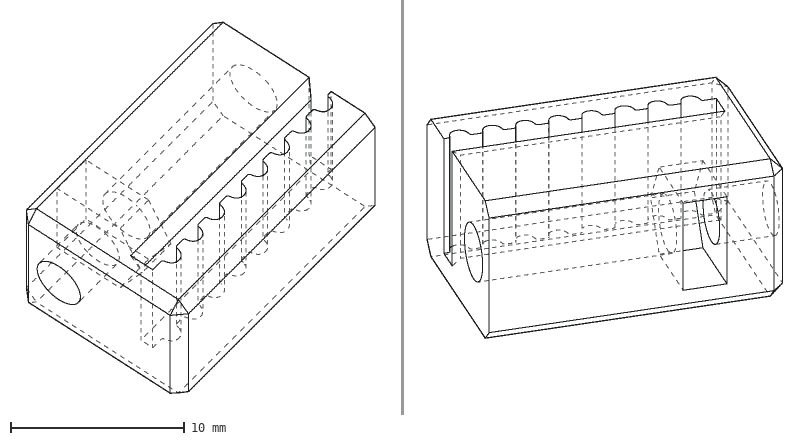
import cadquery as cq
import math

body_width = 12.0
body_length = 18.0
body_height = 9.0
edge_chamfer = 0.75

screw_diameter = 3.2
clearance_diameter = 3.5
screw_x = body_width / 4
screw_z = body_height / 2

nut_across_flats = 5.7
nut_thickness = 2.65
nut_front_y = 3.6
nut_back_y = nut_front_y + nut_thickness
nut_corner_radius = nut_across_flats / 2 / math.cos(math.pi / 6)

slot_wall = 1.5
slot_left_x = 7.87
slot_right_x = 8.75
lead_in = 0.75

tooth_pitch = 2.0
tooth_count = 8
first_tooth_y = 3.0
tooth_depth = 0.75
tip_radius = 0.555
flank_radius = 1.0
mouth_radius = 0.15


def make_body():
    """Block with every edge chamfered except those around the +Y face."""
    block = cq.Workplane("XY").box(body_width, body_length, body_height, centered=False)
    return block.edges("not >Y").chamfer(edge_chamfer)


def make_hole(diameter, start_y, end_y):
    """Cylinder on the screw axis from start_y to end_y."""
    return (
        cq.Workplane("XZ", origin=(screw_x, start_y, screw_z))
        .circle(diameter / 2)
        .extrude(start_y - end_y)
    )


def make_nut_pocket():
    """Slot as wide as the nut, ending in the 120 degree corner of the hexagon."""
    half_width = nut_across_flats / 2
    shoulder_x = screw_x + nut_corner_radius / 2
    outline = [
        (0, screw_z - half_width),
        (shoulder_x, screw_z - half_width),
        (screw_x + nut_corner_radius, screw_z),
        (shoulder_x, screw_z + half_width),
        (0, screw_z + half_width),
    ]
    return (
        cq.Workplane("XZ", origin=(0, nut_front_y, 0))
        .polyline(outline)
        .close()
        .extrude(-nut_thickness)
    )


def make_slot():
    """Plain belt slot."""
    slot = cq.Workplane("XY").box(
        slot_right_x - slot_left_x,
        body_length - slot_wall,
        body_height - slot_wall,
        centered=False,
    )
    return slot.translate((slot_left_x, slot_wall, slot_wall))


def make_top_lead_in():
    """Wedge that chamfers the top edge of the plain slot wall."""
    return (
        cq.Workplane("XZ", origin=(0, slot_wall, 0))
        .moveTo(slot_left_x, body_height)
        .lineTo(slot_left_x - lead_in, body_height)
        .lineTo(slot_left_x, body_height - lead_in)
        .close()
        .extrude(-(body_length - slot_wall))
    )


def make_end_lead_in():
    """Wedge that chamfers the upright edge of the plain slot wall at the +Y face."""
    return (
        cq.Workplane("XY", origin=(0, 0, slot_wall))
        .moveTo(slot_left_x, body_length)
        .lineTo(slot_left_x - lead_in, body_length)
        .lineTo(slot_left_x, body_length - lead_in)
        .close()
        .extrude(body_height - slot_wall)
    )


def make_tooth_groove(center_y):
    """Belt tooth groove: rounded mouth, bowed flanks and round bottom, as deep as the slot."""
    round_deep = tooth_depth - tip_radius
    flank_offset = math.sqrt((flank_radius - tip_radius) ** 2 - round_deep**2)
    mouth_across = math.sqrt((flank_radius + mouth_radius) ** 2 - mouth_radius**2) - flank_offset

    mouth_angle = math.asin(mouth_radius / (flank_radius + mouth_radius))
    tip_angle = math.atan2(round_deep, flank_offset)
    flank_angle = (mouth_angle + tip_angle) / 2
    mouth_turn = (math.pi / 2 - mouth_angle) / 2

    def flank_point(angle):
        return (flank_radius * math.cos(angle) - flank_offset, flank_radius * math.sin(angle))

    mouth_start = (mouth_across, 0)
    mouth_middle = (
        mouth_across - mouth_radius * math.sin(mouth_turn),
        mouth_radius - mouth_radius * math.cos(mouth_turn),
    )
    flank_start = flank_point(mouth_angle)
    flank_middle = flank_point(flank_angle)
    flank_end = flank_point(tip_angle)

    def low(point):
        return (slot_right_x + point[1], center_y - point[0])

    def high(point):
        return (slot_right_x + point[1], center_y + point[0])

    return (
        cq.Workplane("XY", origin=(0, 0, slot_wall))
        .moveTo(*low(mouth_start))
        .threePointArc(low(mouth_middle), low(flank_start))
        .threePointArc(low(flank_middle), low(flank_end))
        .threePointArc((slot_right_x + tooth_depth, center_y), high(flank_end))
        .threePointArc(high(flank_middle), high(flank_start))
        .threePointArc(high(mouth_middle), high(mouth_start))
        .close()
        .extrude(body_height - slot_wall)
    )


result = make_body()
result = result.cut(make_hole(screw_diameter, 0, nut_back_y))
result = result.cut(make_hole(clearance_diameter, nut_back_y, body_length))
result = result.cut(make_nut_pocket())
result = result.cut(make_slot())
result = result.cut(make_top_lead_in())
result = result.cut(make_end_lead_in())
for index in range(tooth_count):
    result = result.cut(make_tooth_groove(first_tooth_y + index * tooth_pitch))